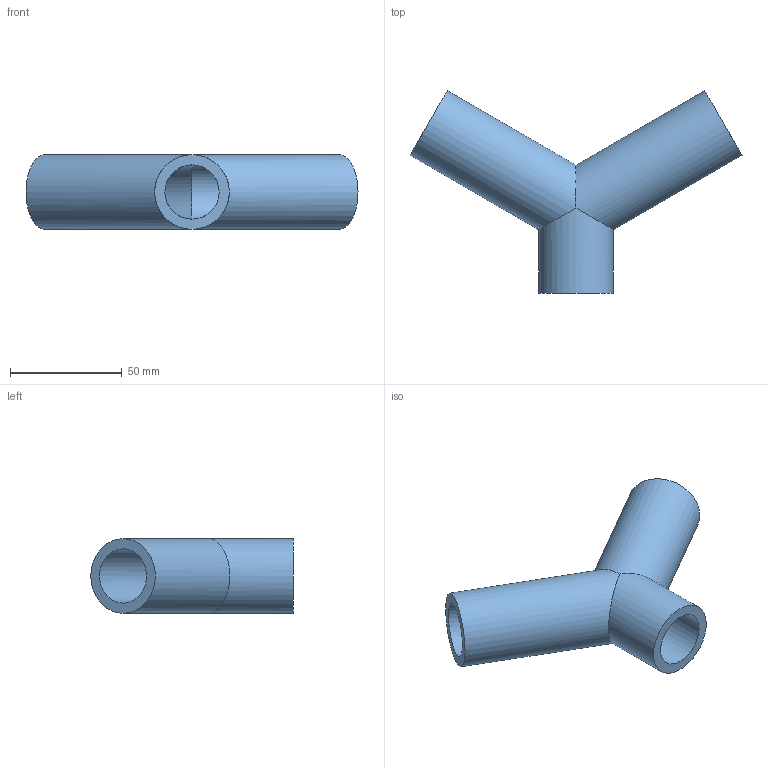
import cadquery as cq
import math

outer_diameter = 33.4
bore_diameter = 24.31
stem_length = 38.1
branch_length = 2 * stem_length

stem_angle = -90.0
branch_spacing = 120.0

legs = [
    (stem_angle, stem_length),
    (stem_angle + branch_spacing, branch_length),
    (stem_angle - branch_spacing, branch_length),
]


def leg_cylinder(angle, length, diameter):
    """Solid cylinder running from the origin along a direction in the XY plane."""
    direction = cq.Vector(math.cos(math.radians(angle)), math.sin(math.radians(angle)), 0)
    return cq.Workplane(cq.Solid.makeCylinder(diameter / 2, length, cq.Vector(0, 0, 0), direction))


def joined_legs(diameter):
    """Union of the cylinders of all three legs."""
    body, *others = [leg_cylinder(angle, length, diameter) for angle, length in legs]
    for other in others:
        body = body.union(other)
    return body


result = joined_legs(outer_diameter).cut(joined_legs(bore_diameter))